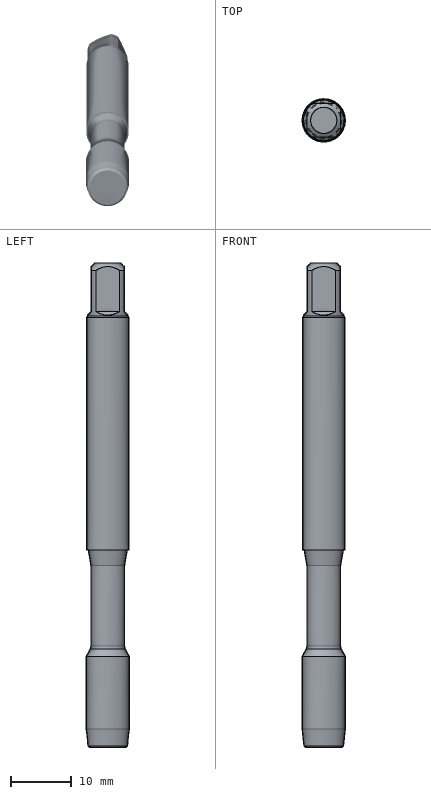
import cadquery as cq


total_length = 80.1

thread_radius = 7.15 / 2
tip_chamfer = 0.32
tip_chamfer_radius = 3.28
tip_radius = tip_chamfer_radius - tip_chamfer
lead_height = 3.1
land_top = 15.1
head_top = 16.32
joint_radius = 2.9

neck_radius = 5.59 / 2
neck_flare_height = 0.45
shoulder_bottom = 30.1
shoulder_radius = 3.25
shank_bottom = 32.7

shank_radius = 7.0 / 2
shank_chamfer_height = 0.23
square_corner_radius = 6.72 / 2
square_width = 5.49
square_length = 9.02
flat_start = 1.02
top_chamfer = 1.2

shank_top = total_length - square_length
flat_offset = square_width / 2
cutter_depth = shank_radius - flat_offset
flat_bottom = shank_top + flat_start


def turned(profile):
    """Solid of revolution about Z from (radius, height) points that start and end on the axis."""
    return cq.Workplane("XZ").polyline(profile).close().revolve(360, (0, 0, 0), (0, 1, 0))


def make_head():
    """Threaded head as a smooth envelope with a lead taper and a back chamfer."""
    return turned([
        (0, 0),
        (tip_radius, 0),
        (tip_chamfer_radius, tip_chamfer),
        (thread_radius, lead_height),
        (thread_radius, land_top),
        (joint_radius, head_top),
        (0, head_top),
    ])


def make_flat_cutter():
    """Block that cuts the +X flat of the square, with a 45 degree run-out at its lower end."""
    return (
        cq.Workplane("XZ")
        .polyline([
            (flat_offset, total_length),
            (flat_offset, flat_bottom),
            (flat_offset + cutter_depth, flat_bottom - cutter_depth),
            (flat_offset + cutter_depth, total_length),
        ])
        .close()
        .extrude(shank_radius, both=True)
    )


def make_shank():
    """Neck, tapered shoulder, shank and drive square."""
    body = turned([
        (0, head_top),
        (joint_radius, head_top),
        (neck_radius, head_top + neck_flare_height),
        (neck_radius, shoulder_bottom),
        (shoulder_radius, shank_bottom),
        (shank_radius, shank_bottom),
        (shank_radius, shank_top),
        (square_corner_radius, shank_top + shank_chamfer_height),
        (square_corner_radius, total_length - top_chamfer),
        (square_corner_radius - top_chamfer, total_length),
        (0, total_length),
    ])
    flat_cutter = make_flat_cutter()
    for angle in range(0, 360, 90):
        body = body.cut(flat_cutter.rotate((0, 0, 0), (0, 0, 1), angle))
    return body


head = make_head()
shank = make_shank()

result = cq.Compound.makeCompound([head.val(), shank.val()])